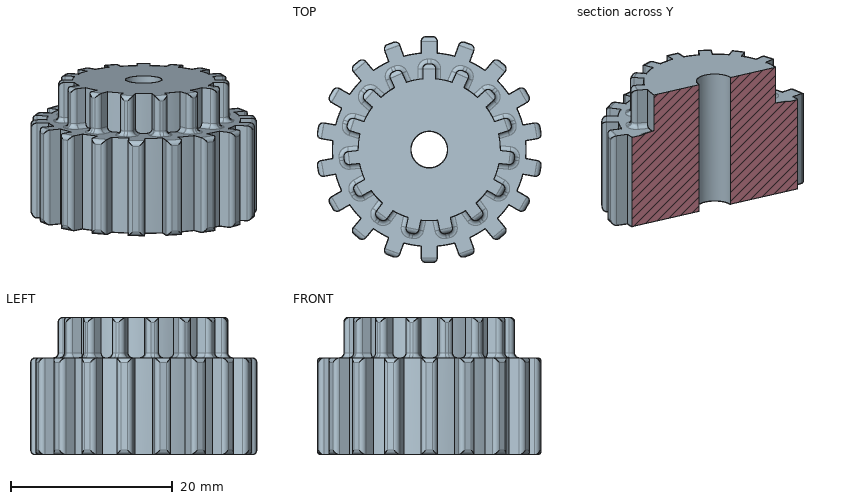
import cadquery as cq

BORE_DIAMETER = 4.5
EDGE_RADIUS = 0.6

LARGE_TEETH = 18
LARGE_TIP_RADIUS = 14.0
LARGE_ROOT_RADIUS = 12.0
LARGE_TOOTH_WIDTH = 2.0
LARGE_HEIGHT = 12.0

SMALL_TEETH = 15
SMALL_TIP_RADIUS = 10.6
SMALL_ROOT_RADIUS = 8.8
SMALL_TOOTH_WIDTH = 1.6
SMALL_HEIGHT = 5.0

TOOTH_EMBED = 1.0
FOOT_THICKNESS = 1.0
FOOT_MARGIN = 0.2

TOTAL_HEIGHT = LARGE_HEIGHT + SMALL_HEIGHT


def block(width, inner_radius, outer_radius, z_bottom, height):
    """Box centred on the +Y axis, spanning two radii."""
    length = outer_radius - inner_radius
    return (
        cq.Workplane("XY")
        .box(width, length, height, centered=(True, False, False))
        .translate((0, inner_radius, z_bottom))
    )


def tooth(width, root_radius, tip_radius, z_bottom, height, rounded_ends):
    """Flat-tipped tooth on +Y: rounded tip corners, mitred with the selected rounded end edges."""
    blank = block(width, root_radius - TOOTH_EMBED, tip_radius, z_bottom, height)
    plan_shape = blank.edges("|Z and >Y").fillet(EDGE_RADIUS)
    side_shape = blank.faces(">Y").edges(rounded_ends).fillet(EDGE_RADIUS)
    return plan_shape.intersect(side_shape)


def small_tooth():
    """Tooth of the small gear, with a fillet spreading onto the large gear's top face."""
    body = tooth(
        SMALL_TOOTH_WIDTH, SMALL_ROOT_RADIUS, SMALL_TIP_RADIUS, LARGE_HEIGHT, SMALL_HEIGHT, ">Z"
    )
    inner_radius = SMALL_ROOT_RADIUS - TOOTH_EMBED
    spread = EDGE_RADIUS + FOOT_MARGIN
    foot_width = SMALL_TOOTH_WIDTH + 2 * spread
    foot = block(
        foot_width, inner_radius, SMALL_TIP_RADIUS + spread, LARGE_HEIGHT - FOOT_THICKNESS, FOOT_THICKNESS
    )
    half_zone = (SMALL_TOOTH_WIDTH + EDGE_RADIUS) / 2
    zone = cq.selectors.BoxSelector(
        (-half_zone, inner_radius + FOOT_MARGIN, LARGE_HEIGHT - FOOT_MARGIN),
        (half_zone, SMALL_TIP_RADIUS + FOOT_MARGIN, LARGE_HEIGHT + FOOT_MARGIN),
    )
    return body.union(foot).edges(zone).fillet(EDGE_RADIUS)


def gear(root_radius, z_bottom, height, tooth_shape, tooth_count):
    """Root cylinder with copies of a tooth spaced evenly about Z, the first on +Y."""
    body = cq.Workplane("XY").workplane(offset=z_bottom).circle(root_radius).extrude(height)
    for index in range(tooth_count):
        angle = index * 360 / tooth_count
        body = body.union(tooth_shape.rotate((0, 0, 0), (0, 0, 1), angle))
    return body


large_tooth = tooth(LARGE_TOOTH_WIDTH, LARGE_ROOT_RADIUS, LARGE_TIP_RADIUS, 0, LARGE_HEIGHT, "|X")
large_gear = gear(LARGE_ROOT_RADIUS, 0, LARGE_HEIGHT, large_tooth, LARGE_TEETH)
small_gear = gear(SMALL_ROOT_RADIUS, LARGE_HEIGHT, SMALL_HEIGHT, small_tooth(), SMALL_TEETH)
bore = cq.Workplane("XY").circle(BORE_DIAMETER / 2).extrude(TOTAL_HEIGHT)

result = large_gear.union(small_gear).cut(bore)